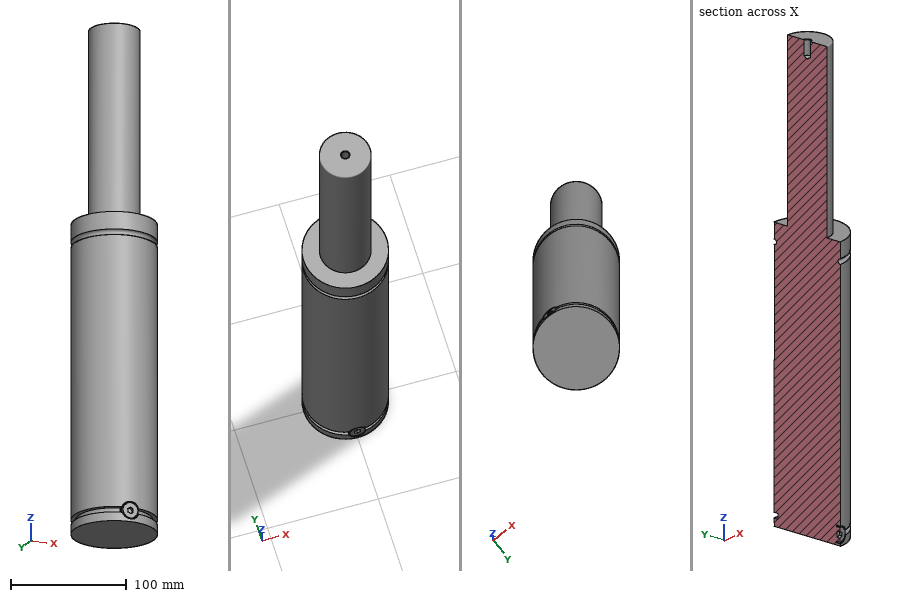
import cadquery as cq
import math

body_diameter = 75.0
body_height = 282.5
rod_diameter = 45.0
total_height = 460.0
rod_fillet = 1.0

upper_groove_radius = 2.5
upper_groove_offset = 18.5
lower_groove_height = 5.0
lower_groove_depth = 4.0
lower_groove_z = 10.5

rod_hole_diameter = 6.8
rod_hole_depth = 15.0
rod_hole_chamfer = 0.6
drill_point_angle = 118.0

port_diameter = 16.0
port_depth = 10.0
port_z = lower_groove_z
plug_head_diameter = 14.0
plug_head_length = 4.0
plug_setback = 0.5
socket_width = 5.0
socket_depth = 3.0

body_radius = body_diameter / 2
upper_groove_z = body_height - upper_groove_offset
port_floor_y = port_depth - body_radius
plug_face_y = plug_setback - body_radius
plug_step_y = plug_face_y + plug_head_length


def make_body_and_rod():
    body = cq.Workplane("XY").circle(body_radius).extrude(body_height)
    rod = cq.Workplane("XY").circle(rod_diameter / 2).extrude(total_height)
    return body.union(rod.faces(">Z").edges().fillet(rod_fillet))


def make_upper_groove():
    """Ring of round section centred on the body surface."""
    section = cq.Workplane("XZ").center(body_radius, upper_groove_z).circle(upper_groove_radius)
    return section.revolve(360, (-body_radius, 0, 0), (-body_radius, 1, 0))


def make_lower_groove():
    """Ring of rectangular section."""
    base = cq.Workplane("XY").workplane(offset=lower_groove_z - lower_groove_height / 2)
    ring = base.circle(body_radius).circle(body_radius - lower_groove_depth)
    return ring.extrude(lower_groove_height)


def make_rod_hole():
    """Chamfered blind hole with a conical drill-point bottom."""
    radius = rod_hole_diameter / 2
    tip_height = radius / math.tan(math.radians(drill_point_angle / 2))
    floor_z = total_height - rod_hole_depth
    profile = (
        cq.Workplane("XZ")
        .moveTo(0, total_height)
        .lineTo(radius + rod_hole_chamfer, total_height)
        .lineTo(radius, total_height - rod_hole_chamfer)
        .lineTo(radius, floor_z)
        .lineTo(0, floor_z - tip_height)
        .close()
    )
    return profile.revolve(360, (0, 0, 0), (0, 1, 0))


def port_workplane(y):
    """Plane across the port axis, facing into the body."""
    return cq.Workplane(cq.Plane(origin=(0, y, port_z), xDir=(1, 0, 0), normal=(0, 1, 0)))


def port_cylinder(diameter, y_start, y_end):
    """Cylinder on the port axis running from y_start to y_end."""
    return port_workplane(y_start).circle(diameter / 2).extrude(y_end - y_start)


def make_port_bore():
    return port_cylinder(port_diameter, -body_radius, port_floor_y)


def make_plug():
    """Stepped plug with a hexagon socket whose corners point up and down."""
    base = port_cylinder(port_diameter, plug_step_y, port_floor_y)
    head = port_cylinder(plug_head_diameter, plug_face_y, port_floor_y)
    corner_diameter = socket_width / math.cos(math.radians(30))
    socket = port_workplane(plug_face_y).transformed(rotate=(0, 0, 90)).polygon(6, corner_diameter)
    return base.union(head).cut(socket.extrude(socket_depth))


result = make_body_and_rod()
result = result.cut(make_upper_groove())
result = result.cut(make_lower_groove())
result = result.cut(make_rod_hole())
result = result.cut(make_port_bore())
result = result.union(make_plug())